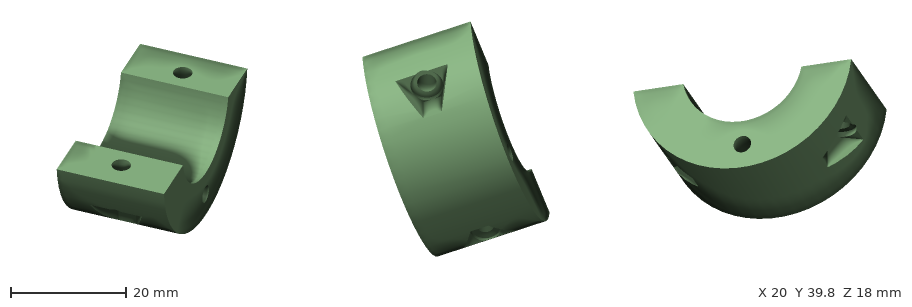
import cadquery as cq
import math

length = 20.0
overall_width = 39.8
overall_height = 18.0
inner_radius = 11.0
outer_radius = ((overall_width / 2) ** 2 + overall_height**2) / (2 * overall_height)
top_z = overall_height - outer_radius

screw_diameter = 3.4
screw_y = 14.65
roof_depth = 8.0
pocket_apothem = 2.85
relief_height = 1.0
roof_z = top_z - roof_depth
relief_top_z = roof_z + relief_height

pin_diameter = 3.2
pin_z = -(inner_radius + outer_radius) / 2


def ring_segment():
    ring = (
        cq.Workplane("YZ")
        .circle(outer_radius)
        .circle(inner_radius)
        .extrude(length / 2, both=True)
    )
    lower_half_space = (
        cq.Workplane("XY", origin=(0, 0, top_z))
        .rect(length, 2 * outer_radius)
        .extrude(-outer_radius)
    )
    return ring.intersect(lower_half_space)


def downward_cylinder(diameter, start_z, side):
    return (
        cq.Workplane("XY", origin=(0, side * screw_y, start_z))
        .circle(diameter / 2)
        .extrude(-outer_radius)
    )


def nut_pocket(side):
    """Pocket with three sides of a hexagon, flaring until it leaves the ring."""
    half_flat = pocket_apothem * math.tan(math.radians(30))
    back_y = screw_y - pocket_apothem
    half_mouth = half_flat + (outer_radius - back_y) * math.tan(math.radians(30))
    return (
        cq.Workplane("XY", origin=(0, 0, roof_z))
        .moveTo(-half_flat, side * back_y)
        .lineTo(half_flat, side * back_y)
        .lineTo(half_mouth, side * outer_radius)
        .lineTo(-half_mouth, side * outer_radius)
        .close()
        .extrude(-outer_radius)
    )


result = ring_segment()

for side in (-1, 1):
    result = result.cut(downward_cylinder(screw_diameter, top_z, side))
    result = result.cut(nut_pocket(side))
    result = result.cut(downward_cylinder(2 * pocket_apothem, relief_top_z, side))

pin_hole = (
    cq.Workplane("YZ")
    .center(0, pin_z)
    .circle(pin_diameter / 2)
    .extrude(length / 2, both=True)
)
result = result.cut(pin_hole)